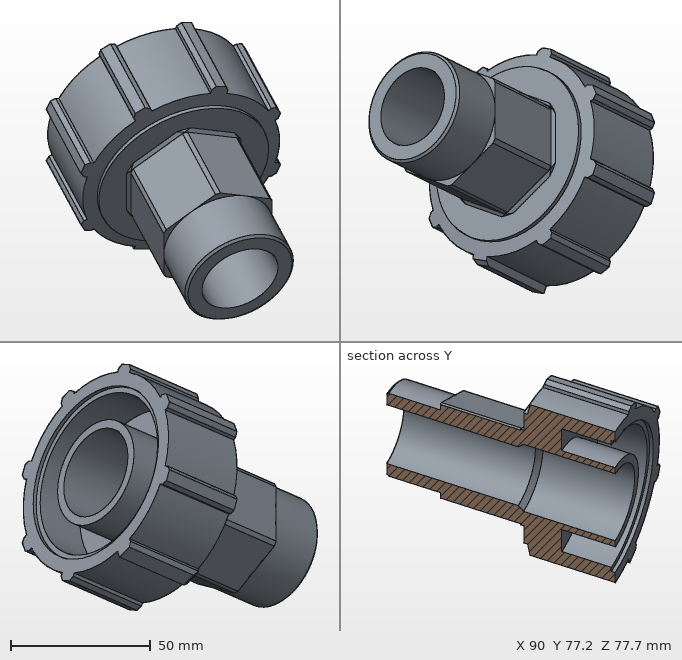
import cadquery as cq
import math


NUT_END_X = 34.6
FLANGE_END_X = 36.1
HEX_START_X = 37.3
HEX_END_X = 68.9
TOTAL_LENGTH = 90.0

NUT_DIAMETER = 76.1
NUT_BORE_DIAMETER = 61.5
NUT_RECESS_DIAMETER = 65.6
NUT_RECESS_DEPTH = 1.5
NUT_BORE_DEPTH = 21.0
NUT_END_ANGLE = 10.0

RIB_COUNT = 8
RIB_PITCH = 360.0 / RIB_COUNT
RIB_TOP_RADIUS = 40.9
RIB_HALF_WIDTH = 3.43
RIB_ROOT_RADIUS = 36.0
RIB_CORNER_WIDTH = 1.36
RIB_CORNER_HEIGHT = 1.7
SQUARE_RIB_INDEX = 5
RIB_BEVEL_LENGTH = 1.7
RIB_BEVEL_HEIGHT = 1.4

FLANGE_DIAMETER = 65.6
HEX_SIDES = 6
HEX_ACROSS_FLATS = 41.9
HEX_CORNER_DIAMETER = 47.3
FLARE_ANGLE = 45.0
COLLAR_DIAMETER = 48.3
SPIGOT_DIAMETER = 41.91
SPIGOT_CHAMFER = 0.9

TUBE_DIAMETER = 40.0
BORE_START_DIAMETER = 33.53
BORE_END_DIAMETER = 29.34
BORE_CONE_START_X = FLANGE_END_X
BORE_CONE_END_X = BORE_CONE_START_X + (BORE_START_DIAMETER - BORE_END_DIAMETER) / 2


def cylinder(diameter, start_x, end_x):
    """Solid cylinder along X between two stations."""
    return (
        cq.Workplane("YZ", origin=(start_x, 0, 0))
        .circle(diameter / 2)
        .extrude(end_x - start_x)
    )


def cone(start_diameter, end_diameter, start_x, end_x):
    """Solid truncated cone along X between two stations."""
    return (
        cq.Workplane("YZ", origin=(start_x, 0, 0))
        .circle(start_diameter / 2)
        .workplane(offset=end_x - start_x)
        .circle(end_diameter / 2)
        .loft(ruled=True)
    )


def hexagon(across_flats, start_x):
    """Hexagon outline across X with two flats facing +Y and -Y."""
    across_corners = across_flats / math.cos(math.pi / HEX_SIDES)
    plane = cq.Workplane("YZ", origin=(start_x, 0, 0)).transformed(rotate=(0, 0, 90))
    return plane.polygon(HEX_SIDES, across_corners)


def rib(index):
    """One grip rib, built pointing along +Y and turned into place about X."""
    shoulder_radius = RIB_TOP_RADIUS - RIB_CORNER_HEIGHT
    top_half_width = RIB_HALF_WIDTH - RIB_CORNER_WIDTH
    is_square = index == SQUARE_RIB_INDEX
    outline = (
        cq.Workplane("YZ")
        .moveTo(RIB_ROOT_RADIUS, -RIB_HALF_WIDTH)
        .lineTo(shoulder_radius, -RIB_HALF_WIDTH)
        .lineTo(RIB_TOP_RADIUS, -top_half_width)
    )
    if is_square:
        outline = outline.lineTo(RIB_TOP_RADIUS, RIB_HALF_WIDTH)
    else:
        outline = outline.lineTo(RIB_TOP_RADIUS, top_half_width).lineTo(shoulder_radius, RIB_HALF_WIDTH)
    body = outline.lineTo(RIB_ROOT_RADIUS, RIB_HALF_WIDTH).close().extrude(NUT_END_X)
    if is_square:
        body = body.cut(rib_end_bevel())
    return body.rotate((0, 0, 0), (1, 0, 0), (index + 0.5) * RIB_PITCH)


def rib_end_bevel():
    """Wedge that bevels the far end of a rib pointing along +Y."""
    bevel_end_x = nut_end_x(RIB_TOP_RADIUS)
    bevel_floor = RIB_TOP_RADIUS - RIB_BEVEL_HEIGHT
    return (
        cq.Workplane("XY")
        .moveTo(bevel_end_x - RIB_BEVEL_LENGTH, RIB_TOP_RADIUS)
        .lineTo(bevel_end_x, bevel_floor)
        .lineTo(NUT_END_X, bevel_floor)
        .lineTo(NUT_END_X, RIB_TOP_RADIUS)
        .close()
        .extrude(RIB_HALF_WIDTH, both=True)
    )


def nut_end_x(radius):
    """Axial position of the nut's shallow conical end at a given radius."""
    slope = math.tan(math.radians(NUT_END_ANGLE))
    return NUT_END_X - (radius - FLANGE_DIAMETER / 2) * slope


def union_nut():
    """Ribbed nut shell with a coned far end and a stepped bore."""
    shell = cylinder(NUT_DIAMETER, 0, NUT_END_X)
    for index in range(RIB_COUNT):
        shell = shell.union(rib(index))
    envelope_radius = RIB_TOP_RADIUS + RIB_HALF_WIDTH
    envelope = (
        cq.Workplane("XY")
        .lineTo(0, envelope_radius)
        .lineTo(nut_end_x(envelope_radius), envelope_radius)
        .lineTo(NUT_END_X, FLANGE_DIAMETER / 2)
        .lineTo(NUT_END_X, 0)
        .close()
        .revolve(360, (0, 0, 0), (1, 0, 0))
    )
    shell = shell.intersect(envelope)
    shell = shell.cut(cylinder(NUT_BORE_DIAMETER, 0, NUT_BORE_DEPTH))
    return shell.cut(cylinder(NUT_RECESS_DIAMETER, 0, NUT_RECESS_DEPTH))


def hex_body():
    """Hexagon with rounded corners and a sloped flare against the flange."""
    body = hexagon(HEX_ACROSS_FLATS, FLANGE_END_X).extrude(HEX_END_X - FLANGE_END_X)
    body = body.intersect(cylinder(HEX_CORNER_DIAMETER, FLANGE_END_X, HEX_END_X))
    flare_length = HEX_START_X - FLANGE_END_X
    flare_height = flare_length * math.tan(math.radians(FLARE_ANGLE))
    flare_base = hexagon(HEX_ACROSS_FLATS + 2 * flare_height, FLANGE_END_X)
    flare = flare_base.extrude(flare_length, taper=FLARE_ANGLE)
    flare = flare.intersect(cylinder(COLLAR_DIAMETER, FLANGE_END_X, HEX_START_X))
    return body.union(flare)


def spigot():
    """Plain round end with a chamfered rim."""
    return cylinder(SPIGOT_DIAMETER, HEX_END_X, TOTAL_LENGTH).faces(">X").chamfer(SPIGOT_CHAMFER)


def through_bore():
    """Wide bore in the tube, narrowing through a short cone into the spigot."""
    return (
        cylinder(BORE_START_DIAMETER, 0, BORE_CONE_START_X)
        .union(cone(BORE_START_DIAMETER, BORE_END_DIAMETER, BORE_CONE_START_X, BORE_CONE_END_X))
        .union(cylinder(BORE_END_DIAMETER, BORE_CONE_END_X, TOTAL_LENGTH))
    )


result = (
    union_nut()
    .union(cylinder(TUBE_DIAMETER, 0, NUT_END_X))
    .union(cylinder(FLANGE_DIAMETER, NUT_END_X, FLANGE_END_X))
    .union(hex_body())
    .union(spigot())
    .cut(through_bore())
)